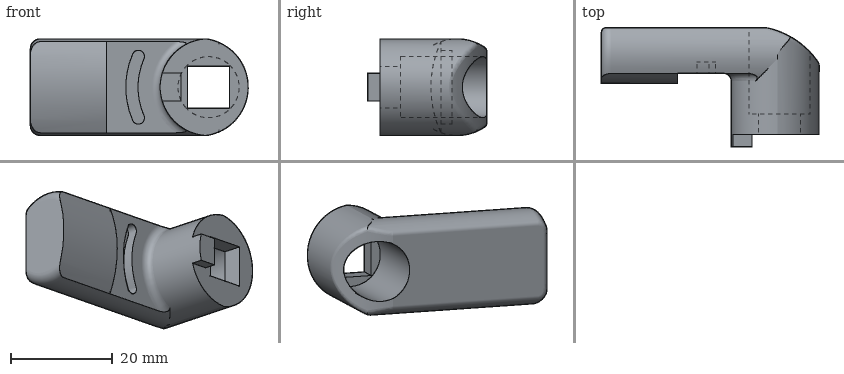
import cadquery as cq
import math


BAR_RADIUS = 9.5
ARM_LENGTH = 35.0
ARM_THICKNESS = 9.0
ARM_REAR_Y = 5.8
ARM_FRONT_Y = ARM_REAR_Y - ARM_THICKNESS
ARM_FRONT_HALF_HEIGHT = math.sqrt(BAR_RADIUS**2 - ARM_FRONT_Y**2)
END_FILLET = 2.0
REAR_FILLET = 1.0

PAD_LENGTH = 15.0
PAD_HEIGHT = 2.0

HUB_LENGTH = 21.0
HUB_MOUTH_Y = ARM_REAR_Y - HUB_LENGTH
HUB_OUTER_RADIUS = 9.6
HUB_OUTER_X = -1.8
ROOT_FILLET = 1.5

ELBOW_START = (-2.6, ARM_REAR_Y)
ELBOW_MIDDLE = (1.8, 4.2)
ELBOW_END = (HUB_OUTER_X + HUB_OUTER_RADIUS, -1.3)

TAB_WIDTH = 5.5
TAB_HEIGHT = 2.4
TAB_INNER_X = -5.4

SQUARE_SIDE = 8.2
SQUARE_DEPTH = 4.0
BORE_DIAMETER = 12.0

SLOT_RADIUS = 15.05
SLOT_WIDTH = 2.4
SLOT_HALF_ANGLE = 23.7
SLOT_DEPTH = 2.2

REACH = 100.0
MARGIN = 0.5


def box(x_min, x_max, y_min, y_max, height=REACH):
    """Box between X and Y limits, centred on Z = 0."""
    size = (x_max - x_min, y_max - y_min, height)
    return cq.Workplane("XY").box(*size).translate(((x_min + x_max) / 2, (y_min + y_max) / 2, 0))


def plane_facing_front(y):
    """XZ sketch plane at the given Y; extrusions run toward -Y."""
    return cq.Workplane("XZ", origin=(0, y, 0))


def make_bar():
    """Full round bar of the arm, from the free end to beyond the hub."""
    return cq.Workplane("YZ", origin=(-ARM_LENGTH, 0, 0)).circle(BAR_RADIUS).extrude(2 * ARM_LENGTH)


def make_hub_post():
    """Lens-like hub section, from the mouth to beyond the rear face."""
    start = plane_facing_front(HUB_MOUTH_Y)
    inner = start.circle(BAR_RADIUS).extrude(-REACH)
    outer = start.center(HUB_OUTER_X, 0).circle(HUB_OUTER_RADIUS).extrude(-REACH)
    return inner.intersect(outer)


def rear_envelope():
    """Everything in front of the flat rear face and the elbow arc."""
    outline = (
        cq.Workplane("XY", origin=(0, 0, -REACH / 2))
        .moveTo(-REACH, ARM_REAR_Y)
        .lineTo(*ELBOW_START)
        .threePointArc(ELBOW_MIDDLE, ELBOW_END)
        .lineTo(ELBOW_END[0], -REACH)
        .lineTo(-REACH, -REACH)
        .close()
    )
    return outline.extrude(REACH)


def make_elbow():
    """Arm and hub joined with a miter at the elbow."""
    bar = make_bar()
    post = make_hub_post()
    crest_x = (HUB_OUTER_RADIUS**2 - BAR_RADIUS**2 - HUB_OUTER_X**2) / (-2 * HUB_OUTER_X)
    arm = bar.intersect(box(-REACH, crest_x, ARM_FRONT_Y, REACH))
    hub = post.intersect(box(-REACH, REACH, -REACH, 0))
    corner = bar.intersect(post).intersect(box(crest_x, REACH, 0, REACH))
    return arm.union(hub).union(corner).intersect(rear_envelope())


def make_pad():
    """Crowned pad, trimmed to the round bar."""
    crown_y = ARM_FRONT_Y - PAD_HEIGHT
    section = (
        cq.Workplane("YZ", origin=(-ARM_LENGTH, 0, 0))
        .moveTo(ARM_FRONT_Y, -ARM_FRONT_HALF_HEIGHT)
        .threePointArc((crown_y, 0), (ARM_FRONT_Y, ARM_FRONT_HALF_HEIGHT))
        .close()
    )
    return section.extrude(PAD_LENGTH)


def make_tab():
    """Locating tab that continues the hub wall past the mouth."""
    disc = plane_facing_front(HUB_MOUTH_Y).circle(BAR_RADIUS).extrude(TAB_HEIGHT)
    return disc.intersect(box(-REACH, TAB_INNER_X, -REACH, REACH, TAB_WIDTH))


def make_drive_hole():
    """Square socket at the mouth that opens into a round bore through the rear."""
    square = plane_facing_front(HUB_MOUTH_Y).rect(SQUARE_SIDE, SQUARE_SIDE).extrude(-SQUARE_DEPTH)
    bore = plane_facing_front(HUB_MOUTH_Y + SQUARE_DEPTH).circle(BORE_DIAMETER / 2).extrude(-REACH)
    return square.union(bore)


def make_slot():
    """Arc slot with round ends, sunk into the arm front."""

    def point(radius, angle):
        return (-radius * math.cos(math.radians(angle)), radius * math.sin(math.radians(angle)))

    inner = SLOT_RADIUS - SLOT_WIDTH / 2
    outer = SLOT_RADIUS + SLOT_WIDTH / 2
    tip_angle = SLOT_HALF_ANGLE + math.degrees(2 * math.asin(SLOT_WIDTH / 4 / SLOT_RADIUS))
    outline = (
        plane_facing_front(ARM_FRONT_Y)
        .moveTo(*point(outer, -SLOT_HALF_ANGLE))
        .threePointArc(point(outer, 0), point(outer, SLOT_HALF_ANGLE))
        .threePointArc(point(SLOT_RADIUS, tip_angle), point(inner, SLOT_HALF_ANGLE))
        .threePointArc(point(inner, 0), point(inner, -SLOT_HALF_ANGLE))
        .threePointArc(point(SLOT_RADIUS, -tip_angle), point(outer, -SLOT_HALF_ANGLE))
        .close()
    )
    return outline.extrude(-SLOT_DEPTH)


def region(x_min, x_max, y_min, y_max, z_min, z_max):
    """Selector for shapes whose centre lies within the limits."""
    return cq.selectors.BoxSelector((x_min, y_min, z_min), (x_max, y_max, z_max))


def round_root(body):
    """Fill the inside corner where the hub meets the arm front."""
    root = region(-BAR_RADIUS, 0, ARM_FRONT_Y - MARGIN, ARM_FRONT_Y + MARGIN, -MARGIN, MARGIN)
    return body.edges("%CIRCLE").edges(root).fillet(ROOT_FILLET)


def round_end(body):
    """Round the top and bottom edges of the arm's free end."""
    upper = region(-REACH, REACH, -REACH, REACH, ARM_FRONT_HALF_HEIGHT, REACH)
    lower = region(-REACH, REACH, -REACH, REACH, -REACH, -ARM_FRONT_HALF_HEIGHT)
    return body.faces("<X").edges(upper + lower).fillet(END_FILLET)


def round_rear(body):
    """Round the rim of the rear, around both its flat face and its elbow face."""
    rear_faces = region(MARGIN - ARM_LENGTH, REACH, 0, REACH, -MARGIN, MARGIN)
    everywhere = region(-REACH, REACH, -REACH, REACH, -REACH, REACH)
    crease_x, crease_y = ELBOW_START
    crease = region(
        crease_x - MARGIN, crease_x + MARGIN, crease_y - MARGIN, crease_y + MARGIN, -MARGIN, MARGIN
    )
    return body.faces(rear_faces).edges(everywhere - crease).fillet(REAR_FILLET)


body = round_root(make_elbow()).union(make_pad())
body = round_rear(round_end(body))
body = body.union(make_tab())
result = body.cut(make_drive_hole()).cut(make_slot())